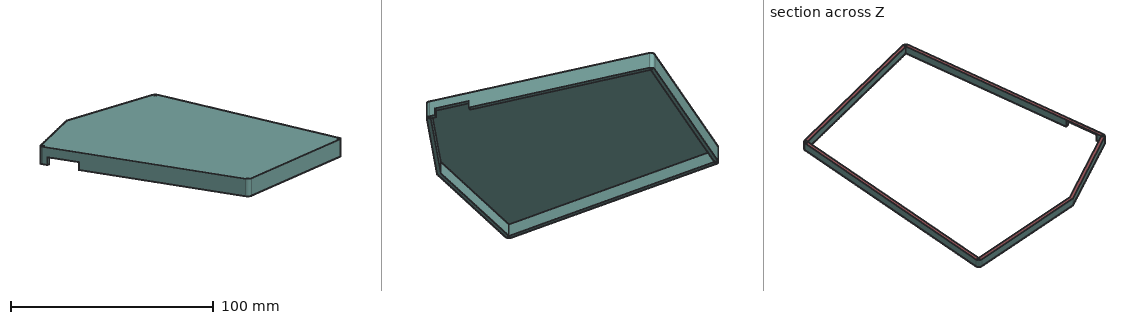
import cadquery as cq
import math

length = 138.44
width = 109.22
height = 9.0

corner_radius = 2.0
knee_radius = 1.0
wall_thickness = 2.0
top_thickness = 2.0

left_x = -length / 2 + corner_radius
right_x = length / 2 - corner_radius
back_y = width / 2 - corner_radius
front_y = -width / 2 + corner_radius

back_left = (-66.7, back_y)
back_right = (52.6, back_y)
front_right = (right_x, -30.35)
front_left = (-46.8, front_y)
left_knee = (left_x, -10.2)
corner_centres = [back_left, back_right, front_right, front_left, left_knee]

main_corners = ">X or >Y or <Y"
knee_corner = "<X"

hole_diameter = 1.0
hole_inset = 1.4

notch_width = 18.0
notch_height = 4.0
notch_offset = 2.8
front_wall_angle = math.degrees(
    math.atan2(front_right[1] - front_left[1], front_right[0] - front_left[0])
)


def make_prism(inset, prism_height):
    """Sharp-cornered five-sided prism, set in from the outer walls."""
    outline = cq.Workplane("XY").polyline(corner_centres).close()
    offset = corner_radius - inset
    if offset != 0:
        outline = outline.offset2D(offset, "intersection")
    return outline.extrude(prism_height)


def make_body():
    """Slab with rounded upright corners; the knee has its own smaller radius."""
    body = make_prism(0, height)
    body = body.edges(f"|Z and {knee_corner}").fillet(knee_radius)
    return body.edges(f"|Z and ({main_corners})").fillet(corner_radius)


def make_cavity():
    """Space under the top plate, a wall thickness inside the outer walls."""
    return make_prism(wall_thickness, height - top_thickness)


def make_notch():
    """Block that cuts through the front wall, square to it, from the underside up."""
    notch = cq.Workplane("XY").box(notch_width, 2 * wall_thickness, notch_height, centered=False)
    notch = notch.translate((notch_offset, -corner_radius - wall_thickness, 0))
    notch = notch.rotate((0, 0, 0), (0, 0, 1), front_wall_angle)
    return notch.translate((*front_left, 0))


def make_holes():
    """Pins that cut the corner holes through the full height."""
    hole_points = make_prism(hole_inset, height).faces("<Z").vertices(main_corners)
    centres = [(point.X, point.Y) for point in hole_points.vals()]
    return cq.Workplane("XY").pushPoints(centres).circle(hole_diameter / 2).extrude(height)


result = make_body().cut(make_cavity()).cut(make_notch()).cut(make_holes())